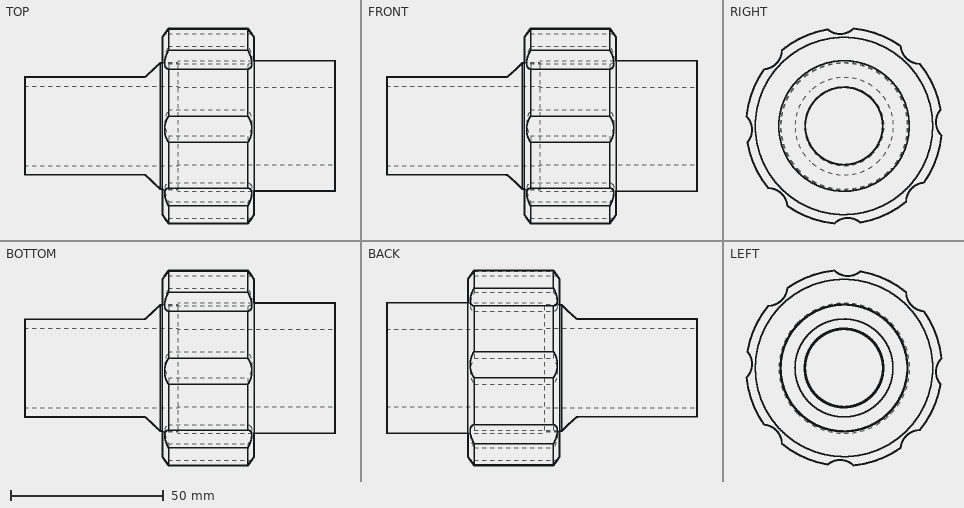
import cadquery as cq
import math

total_length = 101.4
tube_end = 38.9
cone_end = 44.2
nut_start = 44.9
nut_length = 30.0
nut_end = nut_start + nut_length
lip_length = 5.1
joint = nut_start + lip_length

tube_radius = 32.0 / 2
shoulder_radius = 41.3 / 2
tailpiece_bore_radius = 26.0 / 2
blend_radius = 1.0
cone_angle = math.radians(45)

connector_radius = 42.7 / 2
connector_bore_radius = 25.2 / 2

nut_radius = 64.1 / 2
nut_lip_bore_radius = 41.7 / 2
chamfer_length = 2.0
chamfer_depth = 3.0

groove_count = 8
groove_radius = 6.3
groove_floor_radius = 30.1
groove_offset = groove_floor_radius + groove_radius
groove_start_angle = 2.0


def revolve_about_x(profile):
    """Turn a closed (X, radius) profile around the X axis."""
    return profile.close().revolve(360, (0, 0, 0), (1, 0, 0))


def make_tailpiece():
    """Tube widening through a blended cone to a shoulder inside the nut lip."""
    def blend_point(angle):
        x = tube_end + blend_radius * math.sin(angle)
        radius = tube_radius + blend_radius * (1 - math.cos(angle))
        return (x, radius)

    profile = (
        cq.Workplane("XY")
        .moveTo(0, tailpiece_bore_radius)
        .lineTo(0, tube_radius)
        .lineTo(tube_end, tube_radius)
        .threePointArc(blend_point(cone_angle / 2), blend_point(cone_angle))
        .lineTo(cone_end, shoulder_radius)
        .lineTo(joint, shoulder_radius)
        .lineTo(joint, tailpiece_bore_radius)
    )
    return revolve_about_x(profile)


def make_connector():
    """Plain sleeve from the tailpiece joint to the far end."""
    profile = (
        cq.Workplane("XY")
        .moveTo(joint, connector_bore_radius)
        .lineTo(joint, connector_radius)
        .lineTo(total_length, connector_radius)
        .lineTo(total_length, connector_bore_radius)
    )
    return revolve_about_x(profile)


def make_groove_cutters():
    """Round bars along the nut, evenly spaced around its rim."""
    centers = []
    for index in range(groove_count):
        angle = math.radians(groove_start_angle + index * 360 / groove_count)
        centers.append((groove_offset * math.cos(angle), groove_offset * math.sin(angle)))
    return (
        cq.Workplane("YZ", origin=(nut_start, 0, 0))
        .pushPoints(centers)
        .circle(groove_radius)
        .extrude(nut_length)
    )


def make_nut():
    """Chamfered ring with a front lip and grip grooves."""
    face_radius = nut_radius - chamfer_depth
    profile = (
        cq.Workplane("XY")
        .moveTo(nut_start, nut_lip_bore_radius)
        .lineTo(nut_start, face_radius)
        .lineTo(nut_start + chamfer_length, nut_radius)
        .lineTo(nut_end - chamfer_length, nut_radius)
        .lineTo(nut_end, face_radius)
        .lineTo(nut_end, connector_radius)
        .lineTo(joint, connector_radius)
        .lineTo(joint, nut_lip_bore_radius)
    )
    return revolve_about_x(profile).cut(make_groove_cutters())


tailpiece = make_tailpiece()
connector = make_connector()
nut = make_nut()

result = cq.Compound.makeCompound([tailpiece.val(), connector.val(), nut.val()])